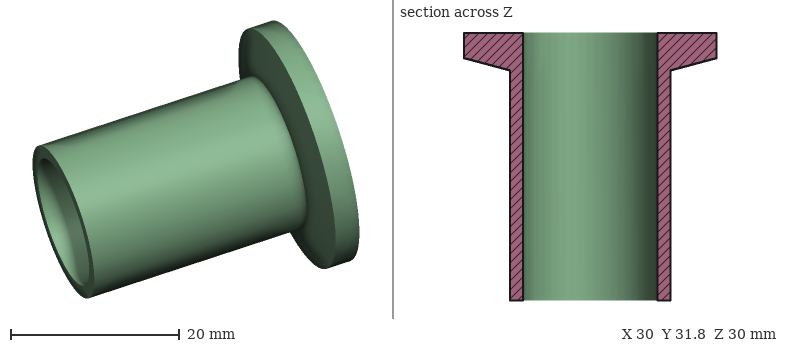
import cadquery as cq
import math

flange_diameter = 29.972
tube_outer_diameter = 19.05
tube_bore_diameter = 15.875
overall_length = 31.75
rim_thickness = 3.05
taper_angle = 15.0

flange_radius = flange_diameter / 2
tube_radius = tube_outer_diameter / 2
bore_radius = tube_bore_diameter / 2
taper_length = (flange_radius - tube_radius) * math.tan(math.radians(taper_angle))
rim_back_y = overall_length - rim_thickness
taper_end_y = rim_back_y - taper_length


def flanged_tube():
    """Tube from Y = 0, ending in a clamp flange with a tapered back face."""
    half_section = (
        cq.Workplane("XY")
        .moveTo(bore_radius, 0)
        .lineTo(tube_radius, 0)
        .lineTo(tube_radius, taper_end_y)
        .lineTo(flange_radius, rim_back_y)
        .lineTo(flange_radius, overall_length)
        .lineTo(bore_radius, overall_length)
        .close()
    )
    return half_section.revolve(360, (0, 0, 0), (0, 1, 0))


result = flanged_tube()